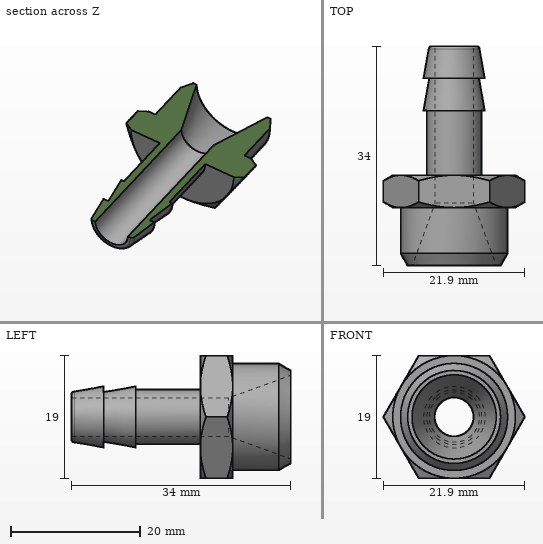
import cadquery as cq
import math

overall_length = 34.0
thread_length = 9.0
hex_thickness = 5.0
barb_length = 5.0
hex_end = thread_length + hex_thickness
first_barb_start = overall_length - 2 * barb_length
second_barb_start = overall_length - barb_length

hex_across_flats = 19.0
thread_radius = 8.3
shank_radius = 4.25
barb_large_radius = 4.75
barb_small_radius = 3.88
bore_radius = 3.0
mouth_radius = 6.53

thread_chamfer_angle = math.radians(30)
thread_chamfer_length = 1.9
thread_chamfer_depth = thread_chamfer_length * math.tan(thread_chamfer_angle)
mouth_half_angle = math.radians(20)
mouth_depth = (mouth_radius - bore_radius) / math.tan(mouth_half_angle)
tip_round = 0.5
hex_chamfer_angle = math.radians(30)
hex_chamfer_overrun = 1.02


def revolve_about_y(profile):
    """Close a (radius, Y) profile and revolve it a full turn about the Y axis."""
    return profile.close().revolve(360, (0, 0, 0), (0, 1, 0))


def make_turned_body():
    """Threaded end, plain shank and two barbs as one solid of revolution."""
    profile = cq.Workplane("XY").polyline([
        (0, 0),
        (thread_radius - thread_chamfer_depth, 0),
        (thread_radius, thread_chamfer_length),
        (thread_radius, thread_length),
        (shank_radius, thread_length),
        (shank_radius, first_barb_start),
        (barb_large_radius, first_barb_start),
        (barb_small_radius, second_barb_start),
        (barb_large_radius, second_barb_start),
        (barb_small_radius, overall_length),
        (0, overall_length),
    ])
    return revolve_about_y(profile).faces(">Y").edges().fillet(tip_round)


def make_hex():
    """Hexagon with corners on X, its corners chamfered on both faces."""
    flat_radius = hex_across_flats / 2
    corner_radius = flat_radius / math.cos(math.pi / 6)
    prism = (
        cq.Workplane("XZ", origin=(0, hex_end, 0))
        .polygon(6, 2 * corner_radius)
        .extrude(hex_thickness)
    )
    cone_radius = corner_radius + hex_chamfer_overrun
    cone_drop = (cone_radius - flat_radius) * math.tan(hex_chamfer_angle)
    envelope = cq.Workplane("XY").polyline([
        (0, thread_length),
        (flat_radius, thread_length),
        (cone_radius, thread_length + cone_drop),
        (cone_radius, hex_end - cone_drop),
        (flat_radius, hex_end),
        (0, hex_end),
    ])
    return prism.intersect(revolve_about_y(envelope))


def make_passage():
    """Through bore with a conical mouth at the threaded end."""
    profile = cq.Workplane("XY").polyline([
        (0, 0),
        (mouth_radius, 0),
        (bore_radius, mouth_depth),
        (bore_radius, overall_length),
        (0, overall_length),
    ])
    return revolve_about_y(profile)


result = make_turned_body().union(make_hex()).cut(make_passage())